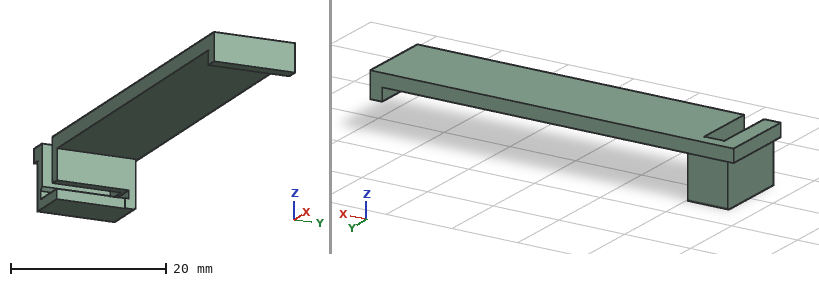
import cadquery as cq

length = 55.3
width = 11.5
plate_thickness = 2.0

hook_length = 1.8
hook_depth = 4.0

total_height = 8.8
housing_start = 1.1
housing_end = 7.2
housing_back_gap = 0.35
back_corner_radius = 0.35

slot_start = 2.55
slot_end = 5.6
slot_length = 9.7

undercut_start = 2.1
undercut_top = 6.3
undercut_floor = 7.4
undercut_extra_length = 0.5
flare_height = 0.5
lip_chamfer_width = 0.2
lip_chamfer_height = 0.45
floor_setback = 0.15


def block(x_start, x_end, y_end, z_bottom, z_top):
    """Box from the front face (Y = 0) back to y_end."""
    size = (x_end - x_start, y_end, z_top - z_bottom)
    return cq.Workplane("XY").box(*size, centered=False).translate((x_start, 0, z_bottom))


def make_housing():
    depth = width - housing_back_gap
    housing = block(housing_start, housing_end, depth, -total_height, 0)
    return housing.edges(">Y and <Z").fillet(back_corner_radius)


def make_slot():
    """Slot with a flared foot that widens into the undercut."""
    profile = [
        (slot_start, 0),
        (slot_end, 0),
        (slot_end, -undercut_top + lip_chamfer_height),
        (slot_end + lip_chamfer_width, -undercut_top),
        (undercut_start, -undercut_top),
        (slot_start, -undercut_top + flare_height),
    ]
    return cq.Workplane("XZ").polyline(profile).close().extrude(-slot_length)


def make_undercut():
    undercut_length = slot_length + undercut_extra_length
    return block(undercut_start, housing_end, undercut_length, -undercut_floor, -undercut_top)


plate = block(0, length, width, -plate_thickness, 0)
hook = block(length - hook_length, length, width, -hook_depth, 0)
floor_trim = block(housing_end - floor_setback, housing_end, slot_length, -total_height, -undercut_floor)

result = plate.union(hook).union(make_housing())
result = result.cut(make_slot()).cut(make_undercut()).cut(floor_trim)